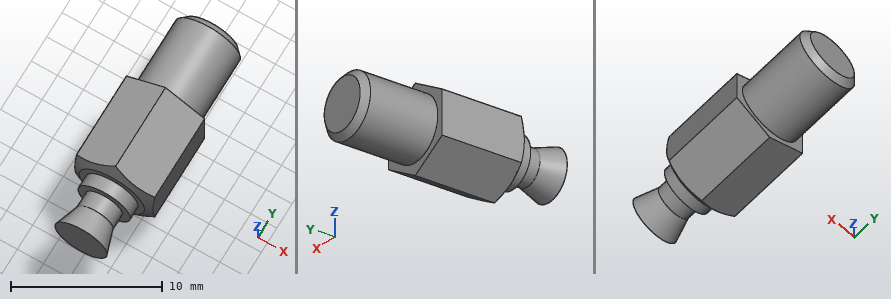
import cadquery as cq
import math

total_length = 17.0
flare_length = 1.8
neck_length = 1.2
collar_length = 1.0
hex_length = 6.99

hex_across_flats = 6.0
stud_diameter = 5.0
collar_diameter = 4.01
flare_diameter = 4.0
neck_diameter = 2.8

stud_chamfer = 0.5
hex_chamfer_diameter = 5.0
hex_chamfer_depth = 0.5

hex_start = -hex_length
collar_start = hex_start - collar_length
neck_start = collar_start - neck_length
tip = neck_start - flare_length
stud_end = tip + total_length

hex_across_corners = hex_across_flats / math.cos(math.radians(30))


def revolve_about_y(profile):
    """Revolve a closed (radius, y) outline around the Y axis."""
    return cq.Workplane("XY").polyline(profile).close().revolve(360, (0, 0, 0), (0, 1, 0))


def make_hex_body():
    """Hexagonal prism with corners on +Z and -Z, conically chamfered at its -Y end."""
    prism = (
        cq.Workplane("XZ")
        .polygon(6, hex_across_corners)
        .extrude(hex_length)
        .rotate((0, 0, 0), (0, 1, 0), 30)
    )
    inner_radius = hex_chamfer_diameter / 2
    corner_radius = hex_across_corners / 2
    outer_radius = hex_across_corners
    cone_slope = hex_chamfer_depth / (corner_radius - inner_radius)
    cone_rise = (outer_radius - inner_radius) * cone_slope
    chamfer_envelope = revolve_about_y([
        (0, hex_start),
        (inner_radius, hex_start),
        (outer_radius, hex_start + cone_rise),
        (outer_radius, 0),
        (0, 0),
    ])
    return prism.intersect(chamfer_envelope)


def make_stud():
    """Plain cylindrical stud with a chamfered free end."""
    stud = cq.Workplane("XZ").circle(stud_diameter / 2).extrude(-stud_end)
    return stud.faces(">Y").chamfer(stud_chamfer)


def make_flared_tip():
    """Collar, narrow neck and a head that flares out to its free end."""
    collar_radius = collar_diameter / 2
    neck_radius = neck_diameter / 2
    return revolve_about_y([
        (0, tip),
        (flare_diameter / 2, tip),
        (neck_radius, neck_start),
        (neck_radius, collar_start),
        (collar_radius, collar_start),
        (collar_radius, hex_start),
        (0, hex_start),
    ])


result = make_hex_body().union(make_stud()).union(make_flared_tip())